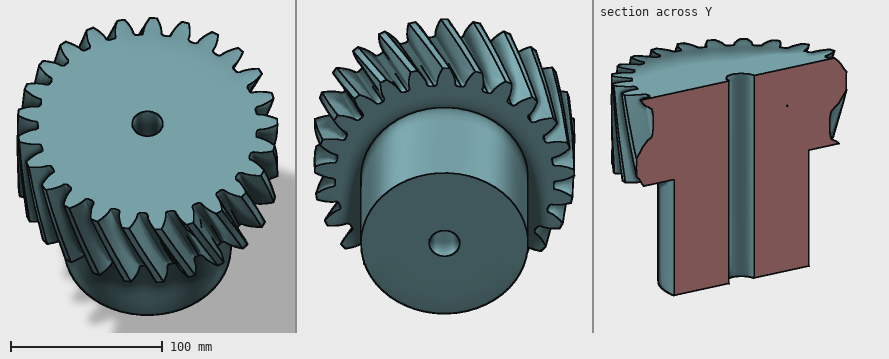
import cadquery as cq
import math

outer_diameter = 171.1
gear_width = 60.0
hub_diameter = 110.0
hub_length = 80.0
bore_diameter = 20.0

tooth_count = 25
helix_angle = math.radians(19.5)
normal_pressure_angle = math.radians(20.0)
addendum_factor = 1.0
dedendum_factor = 1.25
top_tooth_angle = math.radians(9.9)
flank_point_count = 6

outer_radius = outer_diameter / 2
module = outer_radius / (tooth_count / (2 * math.cos(helix_angle)) + addendum_factor)
pitch_radius = outer_radius - addendum_factor * module
root_radius = pitch_radius - dedendum_factor * module
pressure_angle = math.atan(math.tan(normal_pressure_angle) / math.cos(helix_angle))
base_radius = pitch_radius * math.cos(pressure_angle)

fillet_radius = (base_radius**2 - root_radius**2) / (2 * root_radius)
fillet_angle = math.atan(fillet_radius / base_radius)

twist = gear_width * math.tan(helix_angle) / pitch_radius
bottom_tooth_angle = top_tooth_angle + twist
tooth_pitch = 2 * math.pi / tooth_count


def polar(radius, angle):
    return (radius * math.cos(angle), radius * math.sin(angle))


def involute_angle(radius):
    """Angle the involute has swept between the base circle and the given radius."""
    local_pressure_angle = math.acos(min(1.0, base_radius / radius))
    return math.tan(local_pressure_angle) - local_pressure_angle


def half_tooth_angle(radius):
    """Half the angle that a tooth covers at the given radius."""
    return tooth_pitch / 4 + involute_angle(pitch_radius) - involute_angle(radius)


def flank_points(centre, side):
    """Points on one flank from base to tip; side is -1 or +1 about the tooth centre."""
    step = (outer_radius - base_radius) / (flank_point_count - 1)
    radii = [base_radius + i * step for i in range(flank_point_count)]
    return [polar(r, centre + side * half_tooth_angle(r)) for r in radii]


def fillet_middle(centre, side):
    """Point of the root fillet halfway between the flank and the root circle."""
    fillet_centre_angle = centre + side * (half_tooth_angle(base_radius) + fillet_angle)
    x, y = polar(root_radius + fillet_radius, fillet_centre_angle)
    to_root = fillet_centre_angle + math.pi
    to_flank = fillet_centre_angle - side * (math.pi / 2 + fillet_angle)
    dx = math.cos(to_root) + math.cos(to_flank)
    dy = math.sin(to_root) + math.sin(to_flank)
    length = math.hypot(dx, dy)
    return (x + fillet_radius * dx / length, y + fillet_radius * dy / length)


def gear_outline():
    root_end = half_tooth_angle(base_radius) + fillet_angle
    start = polar(root_radius, bottom_tooth_angle - root_end)
    outline = cq.Workplane("XY").workplane(offset=hub_length).moveTo(*start)
    for i in range(tooth_count):
        centre = bottom_tooth_angle + i * tooth_pitch
        rising = flank_points(centre, -1)
        falling = flank_points(centre, 1)[::-1]
        next_start = polar(root_radius, centre + tooth_pitch - root_end)
        outline = (
            outline.threePointArc(fillet_middle(centre, -1), rising[0])
            .spline(rising[1:], includeCurrent=True)
            .threePointArc(polar(outer_radius, centre), falling[0])
            .spline(falling[1:], includeCurrent=True)
            .threePointArc(fillet_middle(centre, 1), polar(root_radius, centre + root_end))
            .threePointArc(polar(root_radius, centre + tooth_pitch / 2), next_start)
        )
    return outline.close()


gear = gear_outline().twistExtrude(gear_width, -math.degrees(twist))
hub = cq.Workplane("XY").circle(hub_diameter / 2).extrude(hub_length)
bore = cq.Workplane("XY").circle(bore_diameter / 2).extrude(hub_length + gear_width)

result = hub.union(gear).cut(bore)